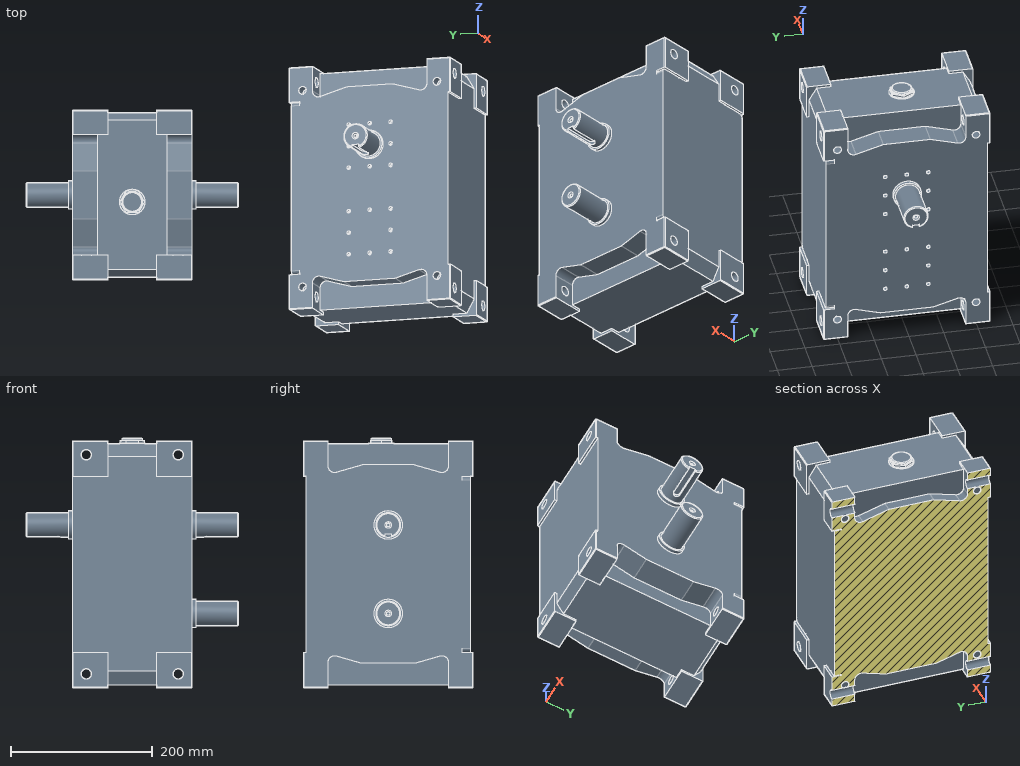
import cadquery as cq
import math

core_half_x = 49.5
body_half_x = 84.7
body_half_y = 116.5
body_bottom = 4.0
body_top = 345.2
core_chamfer_y = 11.0
core_chamfer_top = 18.5
core_chamfer_bottom = 19.8

foot_half_y = 120.0
foot_top = 349.0
foot_width = 50.0
foot_depth = 35.0
foot_chamfer = 1.0
foot_inner_x = body_half_x - foot_width
foot_inner_y = foot_half_y - foot_depth

top_crown_drop = 33.2
top_crown_half_y = 34.0
bottom_crown_drop = 35.0
bottom_crown_half_y = 38.0
crown_slope = math.radians(16)
valley_radius = 9.2

plate_thickness = 12.5
plate_gap = 0.5
plate_radius = 5.0
shoulder_back_y = body_half_y - plate_thickness

through_hole_diameter = 14.0
through_hole_inset = 19.8
side_hole_diameter = 11.0
side_hole_depth = 20.0
side_hole_y = 100.0
side_hole_top_z = foot_top - 34.0
side_hole_back_z = 31.5
side_hole_front_z = 35.0

shaft_spacing = 125.0
lower_shaft_z = 105.2
upper_shaft_z = lower_shaft_z + shaft_spacing
shaft_diameter = 35.0
shaft_end_x = 150.0
shaft_chamfer = 1.5
collar_diameter = 40.2
collar_length = 5.5
key_width = 10.0
key_depth = 5.0
key_length = 50.0
center_hole_diameter = 5.0
center_hole_depth = 10.0
countersink_diameter = 9.2

screw_hole_diameter = 5.0
screw_hole_depth = 7.0
screw_pitch = 31.0

plug_y = -10.0
washer_diameter = 36.0
washer_height = 0.7
plug_hexagon_size = 35.0
plug_hexagon_height = 3.5
plug_head_diameter = 29.3
plug_top = 353.0
plug_chamfer = 1.5


def block(x0, x1, y0, y1, z0, z1):
    """Box between two opposite corners."""
    return cq.Workplane("XY").box(x1 - x0, y1 - y0, z1 - z0, centered=False).translate((x0, y0, z0))


def make_core():
    """Middle of the housing, with its four long edges bevelled."""
    side_top = body_top - core_chamfer_top
    side_bottom = body_bottom + core_chamfer_bottom
    flat_half_y = body_half_y - core_chamfer_y
    outline = [
        (-flat_half_y, body_bottom), (flat_half_y, body_bottom),
        (body_half_y, side_bottom), (body_half_y, side_top),
        (flat_half_y, body_top), (-flat_half_y, body_top),
        (-body_half_y, side_top), (-body_half_y, side_bottom),
    ]
    return cq.Workplane("YZ").polyline(outline).close().extrude(core_half_x, both=True)


def make_relief(crown_drop, crown_half_y):
    """Cutter between two upper feet, from the crown of the shoulder upwards."""
    crown_z = foot_top - crown_drop
    valley_z = crown_z - (foot_inner_y - crown_half_y) * math.tan(crown_slope)
    outline = [
        (-foot_inner_y, foot_top), (-foot_inner_y, valley_z), (-crown_half_y, crown_z),
        (crown_half_y, crown_z), (foot_inner_y, valley_z), (foot_inner_y, foot_top),
    ]
    cutter = cq.Workplane("YZ").polyline(outline).close().extrude(body_half_x - core_half_x)
    for valley_y in (-foot_inner_y, foot_inner_y):
        valley_edge = cq.selectors.NearestToPointSelector((0, valley_y, valley_z))
        cutter = cutter.edges("|X").edges(valley_edge).fillet(valley_radius)
    return cutter.translate((core_half_x, 0, 0))


def make_shoulder():
    """Stepped +X side of the housing, relieved between the feet at both ends."""
    shoulder = block(core_half_x, body_half_x, -body_half_y, shoulder_back_y, body_bottom, body_top)
    bottom_relief = make_relief(bottom_crown_drop, bottom_crown_half_y)
    bottom_relief = bottom_relief.mirror("XY").translate((0, 0, foot_top))
    return shoulder.cut(make_relief(top_crown_drop, top_crown_half_y)).cut(bottom_relief)


def make_foot():
    """Upper foot at +X, -Y: a block around the corner, bevelled on its outer edges."""
    foot_bottom = foot_top - foot_width
    foot = block(foot_inner_x, body_half_x, -foot_half_y, -foot_inner_y, foot_bottom, foot_top)
    foot = foot.edges(">Z and >X").chamfer(foot_chamfer)
    foot = foot.edges("<Y and >X").chamfer(foot_chamfer)
    return foot.edges("<Y and >Z").chamfer(foot_chamfer)


def make_plate():
    """Cover plate on the +Y side, between the upper and lower feet."""
    z0 = foot_width + plate_gap
    z1 = foot_top - z0
    plate = block(-body_half_x, body_half_x, shoulder_back_y, body_half_y, z0, z1)
    return plate.edges("|Y").fillet(plate_radius)


def make_shaft(z):
    """Plain shaft end pointing to +X, with its collar and centre hole."""
    collar = (
        cq.Workplane("YZ", origin=(body_half_x, 0, z)).circle(collar_diameter / 2).extrude(collar_length)
    )
    shaft = (
        cq.Workplane("YZ", origin=(body_half_x, 0, z))
        .circle(shaft_diameter / 2)
        .extrude(shaft_end_x - body_half_x)
        .faces(">X")
        .chamfer(shaft_chamfer)
        .faces(">X")
        .workplane()
        .cskHole(center_hole_diameter, countersink_diameter, 90, center_hole_depth)
    )
    return shaft.union(collar)


def make_keyed_shaft(z):
    """Shaft end with a keyway on its lower side, open at the end and round inside."""
    key_radius = key_width / 2
    inner_x = shaft_end_x - key_length
    keyway = (
        cq.Workplane("XY", origin=(0, 0, z - shaft_diameter / 2))
        .moveTo(shaft_end_x, -key_radius)
        .lineTo(inner_x + key_radius, -key_radius)
        .threePointArc((inner_x, 0), (inner_x + key_radius, key_radius))
        .lineTo(shaft_end_x, key_radius)
        .close()
        .extrude(key_depth)
    )
    return make_shaft(z).cut(keyway)


def make_plug():
    """Vent plug on the top of the housing: a hexagon with a round head on a thin washer."""
    head_height = plug_top - body_top - washer_height - plug_hexagon_height
    return (
        cq.Workplane("XY", origin=(0, plug_y, body_top))
        .circle(washer_diameter / 2)
        .extrude(washer_height)
        .faces(">Z")
        .workplane()
        .polygon(6, plug_hexagon_size)
        .extrude(plug_hexagon_height)
        .faces(">Z")
        .workplane()
        .circle(plug_head_diameter / 2)
        .extrude(head_height)
        .faces(">Z")
        .chamfer(plug_chamfer)
    )


def hole_from_minus_x(y, z, diameter, depth):
    """Blind hole cutter entering the -X face."""
    return cq.Workplane("YZ", origin=(-body_half_x, y, z)).circle(diameter / 2).extrude(depth)


shoulder = make_shoulder()
result = make_core().union(shoulder).union(shoulder.mirror("YZ")).union(make_plate())

upper_foot = make_foot()
lower_foot = upper_foot.mirror("XY").translate((0, 0, foot_top))
for foot in (upper_foot, lower_foot):
    for corner in (foot, foot.mirror("YZ")):
        result = result.union(corner).union(corner.mirror("XZ"))

keyed_shaft = make_keyed_shaft(upper_shaft_z)
result = result.union(keyed_shaft).union(keyed_shaft.mirror("YZ")).union(make_shaft(lower_shaft_z))

result = result.union(make_plug())

hole_x = body_half_x - through_hole_inset
for x in (-hole_x, hole_x):
    for z in (through_hole_inset, foot_top - through_hole_inset):
        hole = cq.Workplane("XZ", origin=(x, 0, z)).circle(through_hole_diameter / 2)
        result = result.cut(hole.extrude(foot_half_y, both=True))

side_holes = [
    (-side_hole_y, side_hole_top_z), (side_hole_y, side_hole_top_z),
    (-side_hole_y, side_hole_front_z), (side_hole_y, side_hole_back_z),
]
for y, z in side_holes:
    result = result.cut(hole_from_minus_x(y, z, side_hole_diameter, side_hole_depth))

for shaft_z in (lower_shaft_z, upper_shaft_z):
    for row in (-1, 0, 1):
        for column in (-1, 0, 1):
            if row == 0 and column == 0:
                continue
            y = column * screw_pitch
            z = shaft_z + row * screw_pitch
            result = result.cut(hole_from_minus_x(y, z, screw_hole_diameter, screw_hole_depth))